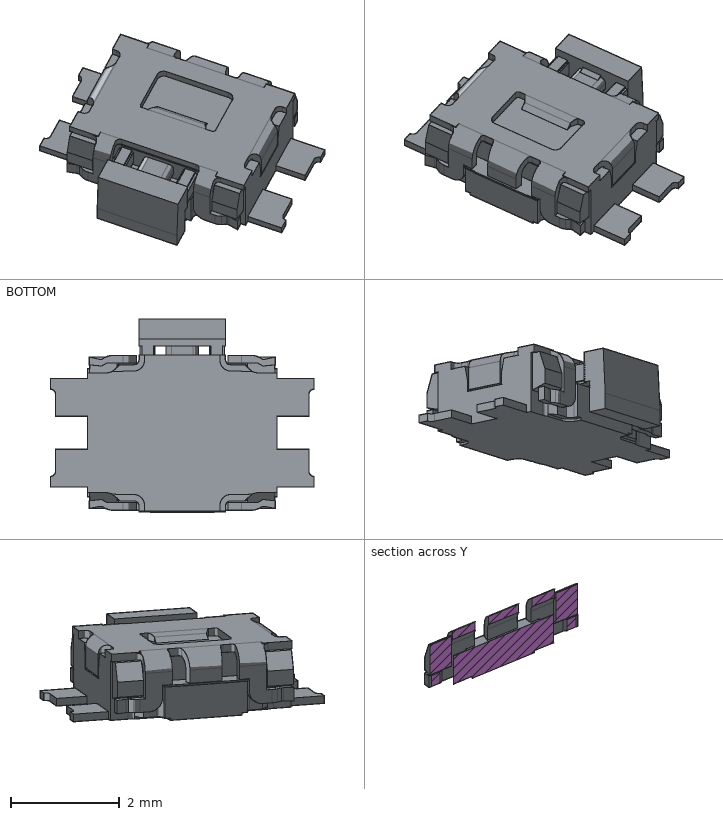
import cadquery as cq
import math


height = 1.27
half_span = 2.425
body_half_x = 1.745
body_half_y = 1.1
sheet = 0.145
body_top = height - sheet

cover_half_y = 1.18
fold_half_x = 1.175
fold_face_y = 1.425
fold_radius = 0.35
bend_start_y = fold_face_y - fold_radius
fold_end_z = 0.19
relief_radius = 0.1
tab_inner_x = 0.84
tab_corner = 0.25

side_radius = 0.19
side_half_y = 0.375
side_flare = 0.18
side_flare_y = side_half_y + side_flare
side_end_z = 0.665
notch_half_y = 0.795
groove = 0.03
groove_top_half_y = 0.46
groove_flare_z = 0.85

window_half_x = 0.75
window_back_y = 0.71
window_front_y = -0.242
window_back_corner = 0.13
window_front_corner = 0.06

pedestal_y = 1.435
pedestal_top = 0.675
column_half_x = 0.795
foot_half_x = 0.695
foot_height = 0.045

cap_half_x = 0.8
cap_back_y = -1.595
cap_front_y = -2.095
cap_bottom = 0.085
cap_top = 1.245

bite = 0.05


def box(x0, x1, y0, y1, z0, z1):
    """Axis-aligned block between two corners."""
    return cq.Workplane("XY").box(x1 - x0, y1 - y0, z1 - z0, centered=False).translate((x0, y0, z0))


def along_x(profile, x0, x1):
    """Extrude a closed YZ profile from x0 to x1."""
    return profile.extrude(x1 - x0).translate((x0, 0, 0))


def both_x(solid):
    """A solid together with its mirror image across X = 0."""
    return solid.union(solid.mirror("YZ"))


def both_y(solid):
    """A solid together with its mirror image across Y = 0."""
    return solid.union(solid.mirror("XZ"))


def bent_flange(edge, flat_start, end_z, radius):
    """YZ profile of a sheet lying flat, bent down at y = -edge and ending at end_z."""
    inner = radius - sheet
    bend_y = -edge + radius
    bend_z = height - radius
    s = math.sqrt(0.5)
    return (
        cq.Workplane("YZ")
        .moveTo(flat_start, height)
        .lineTo(bend_y, height)
        .threePointArc((bend_y - radius * s, bend_z + radius * s), (-edge, bend_z))
        .lineTo(-edge, end_z)
        .lineTo(-edge + sheet, end_z)
        .lineTo(-edge + sheet, bend_z)
        .threePointArc((bend_y - inner * s, bend_z + inner * s), (bend_y, body_top))
        .lineTo(flat_start, body_top)
        .close()
    )


def corner_wing():
    """Tapered lug on the front left corner of the body."""
    outer_x, inner_x = -1.7, -1.2
    top_y, face_y = 1.275, 1.395
    slope_end_z, face_end_z, root_z = 0.785, 0.5, 0.415
    profile = cq.Workplane("YZ").polyline([
        (-body_half_y + bite, body_top), (-top_y, body_top), (-face_y, slope_end_z),
        (-face_y, face_end_z), (-body_half_y, root_z), (-body_half_y + bite, root_z),
    ]).close()
    return along_x(profile, outer_x, inner_x)


def pedestal_outline(shelf_points, step_y, wall_x, fillet):
    """Left half of the front pedestal plan; a concave fillet joins its shelf to its side wall."""
    root_x, ramp_x, ramp_y = 1.405, 1.285, 1.13
    blend_sag = 0.0075
    blend_mid = (-(root_x + ramp_x) / 2, -body_half_y - blend_sag)
    step_x = wall_x + fillet
    s = fillet * math.sqrt(0.5)
    back = -body_half_y + bite
    outline = (
        cq.Workplane("XY")
        .moveTo(-root_x, back)
        .lineTo(-root_x, -body_half_y)
        .threePointArc(blend_mid, (-ramp_x, -ramp_y))
    )
    for x, y in shelf_points:
        outline = outline.lineTo(x, y)
    return (
        outline.lineTo(-step_x, -step_y)
        .threePointArc((-step_x + s, -step_y - fillet + s), (-wall_x, -step_y - fillet))
        .lineTo(-wall_x, -pedestal_y)
        .lineTo(0, -pedestal_y)
        .lineTo(0, back)
        .close()
    )


def pedestal():
    """Left half of the stepped front pedestal, standing on a narrower foot."""
    shelf_x, shelf_y = 1.15, 1.25
    foot_shelf_y = 1.135
    foot_fillet, column_fillet = 0.205, 0.1
    foot = pedestal_outline([], foot_shelf_y, foot_half_x, foot_fillet).extrude(foot_height)
    column = pedestal_outline([(-shelf_x, -shelf_y)], shelf_y, column_half_x, column_fillet)
    column = column.extrude(pedestal_top - foot_height).translate((0, 0, foot_height))
    return foot.union(column)


def side_groove():
    """Recess in the left side wall that receives a side tab."""
    half = side_half_y + groove
    profile = cq.Workplane("YZ").polyline([
        (-half, side_end_z - groove), (half, side_end_z - groove), (half, groove_flare_z),
        (groove_top_half_y, body_top), (-groove_top_half_y, body_top), (-half, groove_flare_z),
    ]).close()
    return along_x(profile, -body_half_x, -body_half_x + sheet)


def back_lip():
    """Thin ledge on top of the back pedestal."""
    thickness = 0.035
    edge_y = 1.455
    crown_half_x, crown_y = 0.58, 1.465
    base = pedestal_top - thickness
    lip = box(-cap_half_x, cap_half_x, body_half_y, edge_y, base, pedestal_top)
    return lip.union(box(-crown_half_x, crown_half_x, body_half_y, crown_y, base, pedestal_top))


def make_body():
    core = box(-body_half_x, body_half_x, -body_half_y, body_half_y, 0, body_top)
    ends = both_y(both_x(corner_wing().union(pedestal())))
    return core.cut(both_x(side_groove())).union(ends).union(back_lip())


def fold_plan():
    """Plan of the front fold, with concave relief corners beside the cover edge."""
    s = relief_radius * (1 - math.sqrt(0.5))
    edge = -cover_half_y
    wide = fold_half_x + relief_radius
    return (
        cq.Workplane("XY")
        .moveTo(-wide, 0)
        .lineTo(-wide, edge)
        .threePointArc((-fold_half_x - s, edge - s), (-fold_half_x, edge - relief_radius))
        .lineTo(-fold_half_x, -fold_face_y)
        .lineTo(fold_half_x, -fold_face_y)
        .lineTo(fold_half_x, edge - relief_radius)
        .threePointArc((fold_half_x + s, edge - s), (wide, edge))
        .lineTo(wide, 0)
        .close()
        .extrude(height)
    )


def fold():
    """Front flange over its full width, bent down from the cover."""
    profile = bent_flange(fold_face_y, bite - bend_start_y, fold_end_z, fold_radius)
    wide = fold_half_x + relief_radius
    return along_x(profile, -wide, wide).intersect(fold_plan())


def tab_gap(top):
    """Gap between the two folded tabs, from their rounded ends up to the given height."""
    s = tab_corner * (1 - math.sqrt(0.5))
    wide = tab_inner_x + tab_corner
    profile = (
        cq.Workplane("XZ")
        .moveTo(-wide, fold_end_z)
        .threePointArc((-tab_inner_x - s, fold_end_z + s), (-tab_inner_x, fold_end_z + tab_corner))
        .lineTo(-tab_inner_x, top)
        .lineTo(tab_inner_x, top)
        .lineTo(tab_inner_x, fold_end_z + tab_corner)
        .threePointArc((tab_inner_x + s, fold_end_z + s), (wide, fold_end_z))
        .close()
    )
    gap = profile.extrude(fold_face_y - bend_start_y).translate((0, -bend_start_y, 0))
    return gap.edges("|Z and >Y").fillet(relief_radius)


def tab_prong():
    """Wavy prong reaching outwards from the end of the front left tab."""
    prong_top = 0.44
    tip_depth, dip_depth = 0.14, 0.12
    bend_x, bend_end_x = -1.275, -1.39
    dip_x, rise_x, tip_x = -1.48, -1.525, -1.71
    bend_end_y, dip_y, tip_y = -1.4, -1.355, -1.39
    back_y = -fold_face_y + sheet
    bend_sag = 0.005
    bend_mid = ((bend_x + bend_end_x) / 2, -fold_face_y + bend_sag)
    return (
        cq.Workplane("XY")
        .workplane(offset=fold_end_z)
        .moveTo(-fold_half_x + bite, -fold_face_y)
        .lineTo(bend_x, -fold_face_y)
        .threePointArc(bend_mid, (bend_end_x, bend_end_y))
        .lineTo(dip_x, dip_y)
        .lineTo(rise_x, dip_y)
        .lineTo(tip_x, tip_y)
        .lineTo(tip_x, tip_y + tip_depth)
        .lineTo(rise_x, dip_y + dip_depth)
        .lineTo(dip_x, dip_y + dip_depth)
        .lineTo(bend_end_x, back_y)
        .lineTo(-fold_half_x + bite, back_y)
        .close()
        .extrude(prong_top - fold_end_z)
    )


def back_slot():
    """Left opening through the back bend, beside the centre tongue."""
    outer_x, root_inner_x, tip_inner_x = -0.65, -0.39, -0.3
    root_y = 1.08
    corner = 0.06
    outline = cq.Workplane("XY").workplane(offset=pedestal_top).polyline([
        (outer_x, fold_face_y + bite), (outer_x, root_y),
        (root_inner_x, root_y), (tip_inner_x, fold_face_y + bite),
    ]).close()
    return outline.extrude(height - pedestal_top).edges("|Z and <Y").fillet(corner)


def side_tab():
    """Left side tab: folded down from the cover and flared at its root."""
    bend_x = -body_half_x + side_radius
    flare_end_x = bend_x - side_flare
    s = side_flare * (1 - math.sqrt(0.5))
    mid_x, mid_y = bend_x - s, side_half_y + s
    tab = bent_flange(body_half_x, bend_x + bite, side_end_z, side_radius)
    bent = along_x(tab, -side_flare_y, side_flare_y).rotate((0, 0, 0), (0, 0, 1), -90)
    plan = (
        cq.Workplane("XY")
        .moveTo(bend_x + bite, -side_flare_y)
        .lineTo(bend_x, -side_flare_y)
        .threePointArc((mid_x, -mid_y), (flare_end_x, -side_half_y))
        .lineTo(-body_half_x, -side_half_y)
        .lineTo(-body_half_x, side_half_y)
        .lineTo(flare_end_x, side_half_y)
        .threePointArc((mid_x, mid_y), (bend_x, side_flare_y))
        .lineTo(bend_x + bite, side_flare_y)
        .close()
        .extrude(height)
    )
    return bent.intersect(plan)


def side_notch():
    """Left relief notch in the flat cover, wide enough for the side tab and its gaps."""
    notch = box(-body_half_x, -body_half_x + side_radius, -notch_half_y, notch_half_y, body_top, height)
    return notch.edges("|Z and >X").fillet(relief_radius)


def cover_window():
    """Rounded opening in the cover."""
    window = box(-window_half_x, window_half_x, window_front_y, window_back_y, body_top, height)
    window = window.edges("|Z and >Y").fillet(window_back_corner)
    return window.edges("|Z and <Y").fillet(window_front_corner)


def window_ramp():
    """Cover tongue rolling down from the front edge of the window."""
    root_half_x, half_x = 0.58, 0.505
    roll_y, foot_y = -0.105, -0.005
    roll_z = 1.215
    roll_mid_y, roll_mid_z = -0.17, 1.255
    profile = (
        cq.Workplane("YZ")
        .moveTo(window_front_y - bite, body_top)
        .lineTo(window_front_y - bite, height)
        .lineTo(window_front_y, height)
        .threePointArc((roll_mid_y, roll_mid_z), (roll_y, roll_z))
        .lineTo(foot_y, body_top)
        .close()
    )
    plan = cq.Workplane("XY").polyline([
        (-root_half_x, window_front_y - bite), (-root_half_x, window_front_y), (-half_x, roll_y),
        (-half_x, foot_y), (half_x, foot_y), (half_x, roll_y),
        (root_half_x, window_front_y), (root_half_x, window_front_y - bite),
    ]).close().extrude(height)
    return along_x(profile, -root_half_x, root_half_x).intersect(plan)


def make_cover():
    plate = box(-body_half_x, body_half_x, -bend_start_y, bend_start_y, body_top, height)
    corner = box(-body_half_x, -fold_half_x, -cover_half_y, -bend_start_y, body_top, height)
    plate = plate.union(both_y(both_x(corner)))
    plate = plate.cut(both_x(side_notch())).cut(cover_window())

    prongs = both_x(tab_prong())
    front = fold().cut(tab_gap(height)).union(prongs)
    back = fold().cut(tab_gap(pedestal_top)).union(prongs).mirror("XZ").cut(both_x(back_slot()))
    return plate.union(front).union(back).union(both_x(side_tab())).union(window_ramp())


def cap():
    """Hanging cap with a slanted front face."""
    top_front_y = -2.045
    slant_end_z = 0.38
    under_y = -1.725
    profile = cq.Workplane("YZ").polyline([
        (cap_back_y, cap_top), (top_front_y, cap_top), (cap_front_y, slant_end_z),
        (cap_front_y, cap_bottom), (under_y, cap_bottom), (under_y, pedestal_top),
        (cap_back_y, pedestal_top),
    ]).close()
    return along_x(profile, -cap_half_x, cap_half_x)


def stem_arm():
    """Left guide arm between body and cap, with stepped long edges."""
    outer_x, inner_x = -0.78, -0.505
    top = 1.08
    step_depth, outer_step, inner_step = 0.045, 0.045, 0.03
    front, back = cap_back_y - bite, -body_half_y + bite
    wide = box(outer_x, inner_x, front, back, pedestal_top + step_depth, top - step_depth)
    return wide.union(box(outer_x + outer_step, inner_x - inner_step, front, back, pedestal_top, top))


def plunger():
    """Centre rod with rounded edges and a ramp rising to the cap."""
    half_x, flank_radius = 0.3, 0.1
    bottom, top, ramp_top = 0.72, 1.04, 1.08
    ramp_start_y = -1.495
    flat_half_x = half_x - flank_radius
    rod = box(-half_x, half_x, cap_back_y - bite, -body_half_y + bite, bottom, top)
    rod = rod.edges("|Y").fillet(flank_radius)
    ramp = cq.Workplane("YZ").polyline([
        (ramp_start_y, top), (cap_back_y, ramp_top),
        (cap_back_y, top - bite), (ramp_start_y, top - bite),
    ]).close()
    return rod.union(along_x(ramp, -flat_half_x, flat_half_x))


def lead():
    """Back left lead with a rounded nick at its tip."""
    outer_y, inner_y = 1.0, 0.3
    tip_end_y = 0.8
    nick = 0.09
    s = nick * math.sqrt(0.5)
    return (
        cq.Workplane("XY")
        .moveTo(-body_half_x + bite, outer_y)
        .lineTo(-half_span, outer_y)
        .lineTo(-half_span, tip_end_y)
        .threePointArc((-half_span + s, tip_end_y - nick + s), (-half_span + nick, tip_end_y - nick))
        .lineTo(-half_span + nick, inner_y)
        .lineTo(-body_half_x + bite, inner_y)
        .close()
        .extrude(sheet)
    )


leads = both_y(both_x(lead()))
actuator = cap().union(both_x(stem_arm())).union(plunger())
result = make_body().union(make_cover()).union(actuator).union(leads)